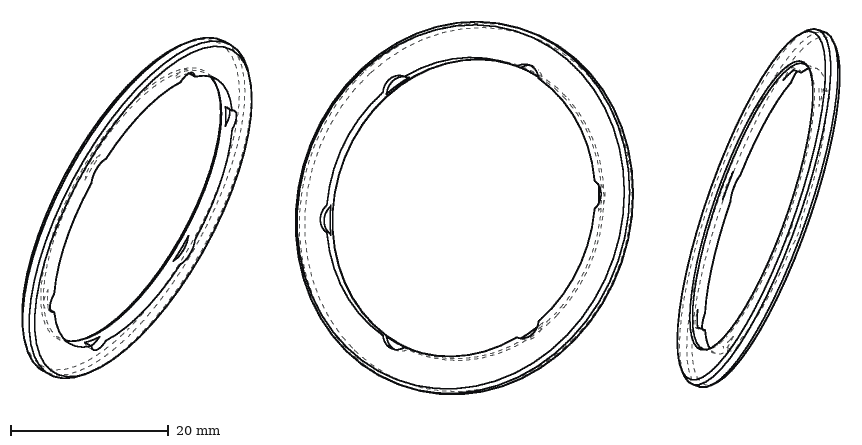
import cadquery as cq

outer_diameter = 47.75
thickness = 2.0
bore_radius = 19.2

rim_chamfer = 0.5
bore_chamfer_radial = 0.2
bore_chamfer_axial = 0.3

scallop_count = 6
scallop_radius = 2.15
scallop_reach = 0.85
scallop_depth = 1.05
scallop_corner_radius = 0.3

outer_radius = outer_diameter / 2
back_face_x = thickness / 2
front_face_x = -back_face_x
scallop_centre_radius = bore_radius + scallop_reach - scallop_radius


def ring_body():
    """Revolve the cross-section, drawn in XY with Y as radius, about the X axis."""
    return (
        cq.Workplane("XY")
        .moveTo(front_face_x, bore_radius + bore_chamfer_radial)
        .lineTo(front_face_x, outer_radius - rim_chamfer)
        .lineTo(front_face_x + rim_chamfer, outer_radius)
        .lineTo(back_face_x - rim_chamfer, outer_radius)
        .lineTo(back_face_x, outer_radius - rim_chamfer)
        .lineTo(back_face_x, bore_radius)
        .lineTo(front_face_x + bore_chamfer_axial, bore_radius)
        .close()
        .revolve(360, (0, 0, 0), (1, 0, 0))
    )


def scallop_cutters():
    """Round cutters reaching outward past the bore, the first one on the +Y side."""
    return (
        cq.Workplane("YZ", origin=(back_face_x - scallop_depth, 0, 0))
        .polarArray(scallop_centre_radius, 0, 360, scallop_count)
        .circle(scallop_radius)
        .extrude(scallop_depth)
    )


def scallop_corners():
    """Box around the mouths of the scallops, used to pick their corner edges."""
    margin = 0.05
    return cq.selectors.BoxSelector(
        (0, -bore_radius - margin, -bore_radius - margin),
        (back_face_x - margin, bore_radius + margin, bore_radius + margin),
    )


scalloped_ring = ring_body().cut(scallop_cutters())
result = scalloped_ring.edges("|X").edges(scallop_corners()).fillet(scallop_corner_radius)